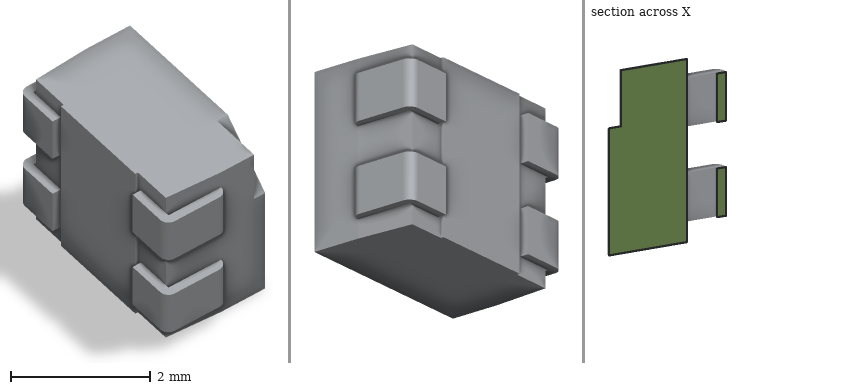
import cadquery as cq

LENGTH = 3.5
DEPTH = 1.9
HEIGHT = 2.8

LEAD_THICKNESS = 0.15
LEAD_WIDTH = 0.75
LEAD_GAP = 0.7
FOOT_LENGTH = 0.8

PAD_WIDTH = 1.757
PAD_RISE = 0.05
STRAIGHT_DEPTH = 0.805
END_TAPER = 0.063
LEAD_TIP_DEPTH = 0.798

MARK_SIZE = 0.885
MARK_DEPTH = 0.2

back_y = DEPTH / 2
feet_y = -DEPTH / 2
front_y = feet_y + LEAD_THICKNESS
pad_y = front_y - PAD_RISE
taper_y = back_y - STRAIGHT_DEPTH
lead_tip_y = back_y - LEAD_TIP_DEPTH
half_body = LENGTH / 2 - LEAD_THICKNESS
half_front = half_body - END_TAPER
half_pad = PAD_WIDTH / 2
lead_pitch = LEAD_WIDTH + LEAD_GAP


def make_body():
    """Block with tapered ends and a raised strip along the front."""
    outline = [
        (-half_body, back_y),
        (half_body, back_y),
        (half_body, taper_y),
        (half_front, front_y),
        (half_pad, front_y),
        (half_pad, pad_y),
        (-half_pad, pad_y),
        (-half_pad, front_y),
        (-half_front, front_y),
        (-half_body, taper_y),
    ]
    return cq.Workplane("XY").polyline(outline).close().extrude(HEIGHT / 2, both=True)


def make_corner_mark():
    """Triangular prism that cuts the +X, +Z corner of the back face."""
    return (
        cq.Workplane("XZ", origin=(0, back_y, 0))
        .moveTo(half_body, HEIGHT / 2)
        .lineTo(half_body - MARK_SIZE, HEIGHT / 2)
        .lineTo(half_body, HEIGHT / 2 - MARK_SIZE)
        .close()
        .extrude(MARK_DEPTH)
    )


def make_lead(z_center):
    """L-shaped lead on the -X end, rounded at its tip and outer bend."""
    outer_x = -LENGTH / 2
    foot_end_x = outer_x + FOOT_LENGTH
    return (
        cq.Workplane("XY", origin=(0, 0, z_center))
        .moveTo(-half_body, lead_tip_y)
        .radiusArc((outer_x, lead_tip_y - LEAD_THICKNESS), -LEAD_THICKNESS)
        .lineTo(outer_x, front_y)
        .radiusArc((-half_body, feet_y), -LEAD_THICKNESS)
        .lineTo(foot_end_x, feet_y)
        .lineTo(foot_end_x, front_y)
        .lineTo(-half_body, front_y)
        .close()
        .extrude(LEAD_WIDTH / 2, both=True)
    )


result = make_body().cut(make_corner_mark())
for z_center in (-lead_pitch / 2, lead_pitch / 2):
    lead = make_lead(z_center)
    result = result.union(lead).union(lead.mirror("YZ"))